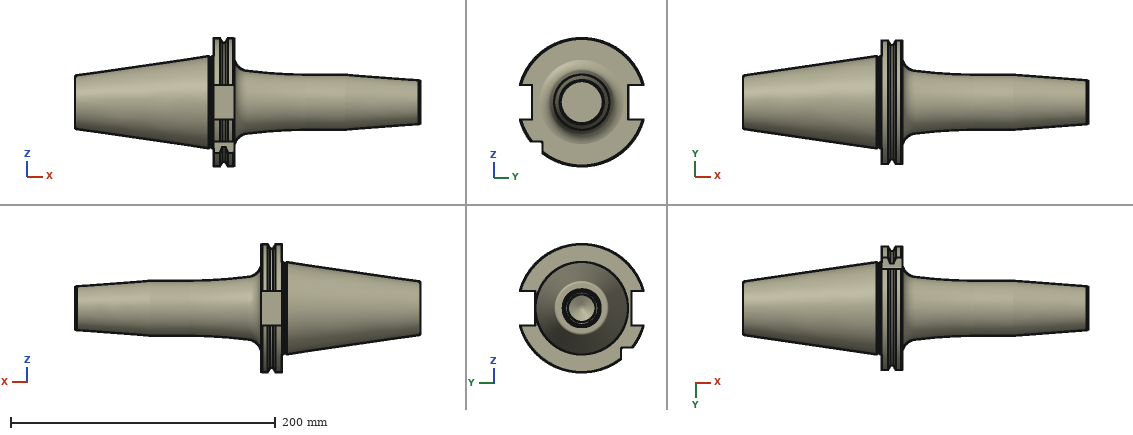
import cadquery as cq
import math

total_length = 261.5

taper_end_x = 101.2
taper_end_radius = 35.0
taper_slope = 7 / 48
shank_end_radius = taper_end_radius - taper_slope * taper_end_x
shank_round = 1.8

relief_start = 102.0
relief_end = 103.3
shoulder_start = 104.0
relief_radius = 34.0

flange_start = 105.0
flange_end = 120.9
flange_radius = 48.7
flange_chamfer_length = 1.0
shank_side_chamfer_depth = 0.3
nose_side_chamfer_depth = 0.65
groove_radius = 45.3
groove_center_x = 112.7
groove_bottom_width = 2.4
groove_side_angle = 30.0
groove_top_width = groove_bottom_width + 2 * (flange_radius - groove_radius) * math.tan(
    math.radians(groove_side_angle)
)

root_radius = 32.0
neck_start = 130.8
neck_radius = 23.8
root_mid_x = 124.3
root_mid_radius = 26.5
nose_start = 175.0
nose_radius = 21.0
neck_mid_x = 152.8
neck_mid_radius = 21.7
tip_taper_start = 204.5
tip_radius = 16.7
tip_chamfer = 1.5
tip_chamfer_depth = 0.8

slot_width = 26.0
positive_slot_floor = 35.3
negative_slot_floor = 37.7
notch_offset = 29.8
notch_corner_radius = 1.3

mouth_radius = 14.5
mouth_chamfer = 1.0
recess_depth = 6.3
counterbore_radius = 12.5
counterbore_depth = 11.0
thread_radius = 10.5
bore_depth = 47.0
drill_point_angle = 118.0
recess_radius = mouth_radius - mouth_chamfer
recess_floor = recess_depth + recess_radius - counterbore_radius
counterbore_floor = counterbore_depth + counterbore_radius - thread_radius
drill_point_depth = thread_radius / math.tan(math.radians(drill_point_angle / 2))


def make_body():
    round_end_radius = shank_end_radius + taper_slope * shank_round
    round_corner_radius = round_end_radius - shank_round
    diagonal = shank_round * math.sqrt(0.5)
    profile = (
        cq.Workplane("XY")
        .lineTo(0, round_corner_radius)
        .threePointArc(
            (shank_round - diagonal, round_corner_radius + diagonal),
            (shank_round, round_end_radius),
        )
        .lineTo(taper_end_x, taper_end_radius)
        .lineTo(relief_start, relief_radius)
        .lineTo(relief_end, relief_radius)
        .lineTo(shoulder_start, taper_end_radius)
        .lineTo(flange_start, taper_end_radius)
        .lineTo(flange_start, flange_radius - shank_side_chamfer_depth)
        .lineTo(flange_start + flange_chamfer_length, flange_radius)
        .lineTo(groove_center_x - groove_top_width / 2, flange_radius)
        .lineTo(groove_center_x - groove_bottom_width / 2, groove_radius)
        .lineTo(groove_center_x + groove_bottom_width / 2, groove_radius)
        .lineTo(groove_center_x + groove_top_width / 2, flange_radius)
        .lineTo(flange_end - flange_chamfer_length, flange_radius)
        .lineTo(flange_end, flange_radius - nose_side_chamfer_depth)
        .lineTo(flange_end, root_radius)
        .threePointArc((root_mid_x, root_mid_radius), (neck_start, neck_radius))
        .threePointArc((neck_mid_x, neck_mid_radius), (nose_start, nose_radius))
        .lineTo(tip_taper_start, nose_radius)
        .lineTo(total_length - tip_chamfer, tip_radius)
        .lineTo(total_length, tip_radius - tip_chamfer_depth)
        .lineTo(total_length, 0)
        .close()
    )
    return profile.revolve(360, (0, 0, 0), (1, 0, 0))


def make_bore():
    profile = (
        cq.Workplane("XY")
        .lineTo(0, mouth_radius)
        .lineTo(mouth_chamfer, recess_radius)
        .lineTo(recess_depth, recess_radius)
        .lineTo(recess_floor, counterbore_radius)
        .lineTo(counterbore_depth, counterbore_radius)
        .lineTo(counterbore_floor, thread_radius)
        .lineTo(bore_depth, thread_radius)
        .lineTo(bore_depth + drill_point_depth, 0)
        .close()
    )
    return profile.revolve(360, (0, 0, 0), (1, 0, 0))


def flange_cutter(y_start, y_end, z_start, z_end):
    """Box through the full flange width between the given Y and Z limits."""
    return cq.Workplane("XY").box(
        flange_end - flange_start, y_end - y_start, z_end - z_start, centered=False
    ).translate((flange_start, y_start, z_start))


body = make_body().cut(make_bore())
body = body.cut(
    flange_cutter(positive_slot_floor, flange_radius, -slot_width / 2, slot_width / 2)
)
body = body.cut(
    flange_cutter(-flange_radius, -negative_slot_floor, -slot_width / 2, slot_width / 2)
)
notch = flange_cutter(-flange_radius, -notch_offset, -flange_radius, -notch_offset)
notch = notch.edges("|X and >Y and >Z").fillet(notch_corner_radius)
result = body.cut(notch)